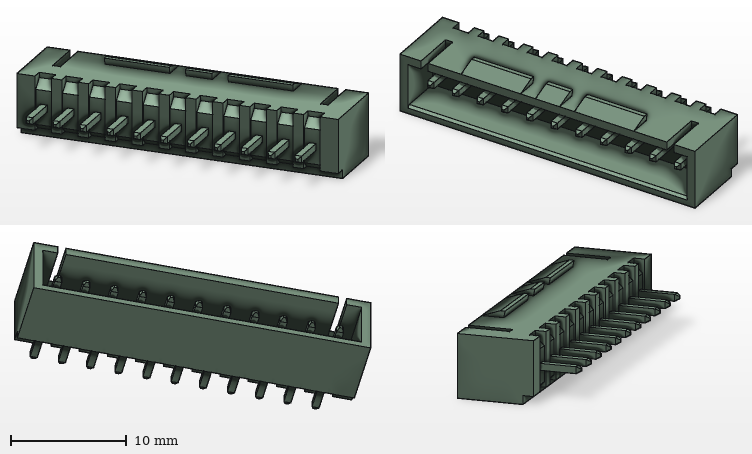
import cadquery as cq


housing_length = 29.9
housing_depth = 7.0
overall_height = 6.4
housing_height = 5.8
rear_step_depth = 1.0
rear_step_height = 0.8

pin_count = 11
pin_row_length = 25.0
pin_pitch = pin_row_length / (pin_count - 1)
pin_size = 0.63
pin_height = 2.9
pin_overhang = 3.5
pin_tip_length = 0.35
pin_tip_size = 0.25
pin_recess = 0.78
pin_positions = [(i - (pin_count - 1) / 2) * pin_pitch for i in range(pin_count)]

wall = 0.8
cavity_depth = 4.05
lip_chamfer = 0.25

notch_width = 1.52
notch_depth = 0.18
notch_top_depth = 1.0
notch_ledge_drop = 0.48
notch_bevel = notch_top_depth - notch_depth
notch_foot_bevel = 0.48

slot_width = 0.72

rib_height = overall_height - housing_height
rib_ramp_length = 1.73
rib_crest_end = 2.15
rib_foot_end = 2.03
centre_rib_length = 2.45
side_rib_length = 6.05
side_rib_offset = 5.75


def extrude_along_x(profile, length, centre_x=0.0):
    """Extrude a closed (y, z) outline along X, centred on centre_x."""
    start = cq.Workplane("YZ").workplane(offset=centre_x - length / 2)
    return start.polyline(profile).close().extrude(length)


def make_housing():
    """Rectangular block with a step along the lower rear edge."""
    profile = [
        (rear_step_depth, 0),
        (housing_depth, 0),
        (housing_depth, housing_height),
        (0, housing_height),
        (0, rear_step_height),
        (rear_step_depth, rear_step_height),
    ]
    return extrude_along_x(profile, housing_length)


def make_cavity():
    """Pocket open on the mating face, with a bevelled lower lip."""
    profile = [
        (housing_depth, wall - lip_chamfer),
        (housing_depth, housing_height - wall),
        (housing_depth - cavity_depth, housing_height - wall),
        (housing_depth - cavity_depth, wall),
        (housing_depth - lip_chamfer, wall),
    ]
    return extrude_along_x(profile, housing_length - 2 * wall)


def make_notch(centre_x):
    """Shallow rear notch, deepened at the top and bevelled at 45 degrees at both ends."""
    ledge_z = housing_height - notch_ledge_drop
    profile = [
        (0, housing_height),
        (notch_top_depth, housing_height),
        (notch_top_depth, ledge_z),
        (notch_depth, ledge_z - notch_bevel),
        (notch_depth, rear_step_height + notch_foot_bevel),
        (notch_depth + notch_foot_bevel, rear_step_height),
        (0, rear_step_height),
    ]
    return extrude_along_x(profile, notch_width, centre_x)


def make_slot(side):
    """Slot through the top wall; its outer edge lines up with the end pin."""
    outer_edge = pin_positions[-1] + pin_size / 2
    centre_x = side * (outer_edge - slot_width / 2)
    return (
        cq.Workplane("XY")
        .box(slot_width, cavity_depth, wall, centered=(True, False, False))
        .translate((centre_x, housing_depth - cavity_depth, housing_height - wall))
    )


def make_rib(length, centre_x):
    """Wedge rib rising from the mating edge to a short flat crest."""
    crest_z = housing_height + rib_height
    profile = [
        (housing_depth, housing_height),
        (housing_depth - rib_ramp_length, crest_z),
        (housing_depth - rib_crest_end, crest_z),
        (housing_depth - rib_foot_end, housing_height),
    ]
    return extrude_along_x(profile, length, centre_x)


def make_pin(centre_x):
    """Square pin along Y with a tapered tip at each end."""
    rear_shoulder = -pin_overhang + pin_tip_length
    front_shoulder = housing_depth - pin_recess - pin_tip_length
    shaft = cq.Workplane("XY").rect(pin_size, pin_size).extrude(front_shoulder - rear_shoulder)
    pin = shaft
    for face in (">Z", "<Z"):
        tip = (
            shaft.faces(face)
            .workplane()
            .rect(pin_size, pin_size)
            .workplane(offset=pin_tip_length)
            .rect(pin_tip_size, pin_tip_size)
            .loft(combine=False)
        )
        pin = pin.union(tip)
    return pin.rotate((0, 0, 0), (1, 0, 0), -90).translate((centre_x, rear_shoulder, pin_height))


result = make_housing().cut(make_cavity())

for x in pin_positions:
    result = result.cut(make_notch(x))

for side in (-1, 1):
    result = result.cut(make_slot(side))
    result = result.union(make_rib(side_rib_length, side * side_rib_offset))
result = result.union(make_rib(centre_rib_length, 0))

for x in pin_positions:
    result = result.union(make_pin(x))